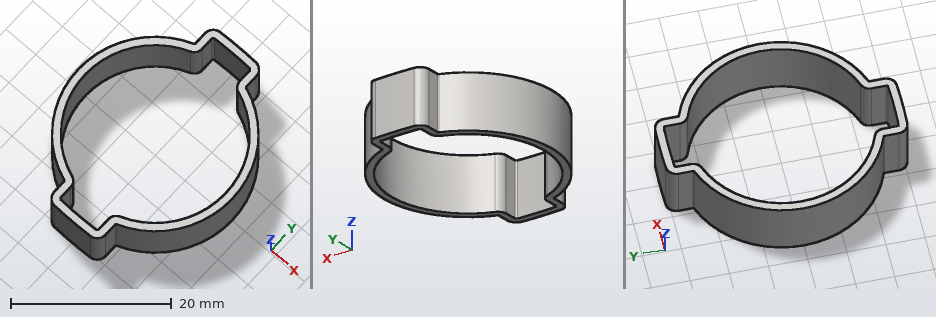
import cadquery as cq
import math

length_y = 31.0
height = 8.0
wall = 1.12
ring_radius = 12.85
ear_width = 8.55
ear_bow_radius = 61.98
corner_inside_bend = 0.25
neck_inside_bend = 0.15

ear_reach = length_y / 2
corner_outside_bend = corner_inside_bend + wall
neck_outside_bend = neck_inside_bend + wall


def ring_with_ears(radius, half_reach, width, bow_radius, corner_bend, neck_bend):
    """Solid disc crossed by a bow-ended bar along Y, with rounded ear corners and necks."""
    half_width = width / 2
    bow_rise = bow_radius - math.sqrt(bow_radius**2 - half_width**2)
    corner_y = half_reach - bow_rise

    disc = cq.Workplane("XY").circle(radius).extrude(height)
    bar = (
        cq.Workplane("XY")
        .moveTo(half_width, -corner_y)
        .lineTo(half_width, corner_y)
        .threePointArc((0, half_reach), (-half_width, corner_y))
        .lineTo(-half_width, -corner_y)
        .threePointArc((0, -half_reach), (half_width, -corner_y))
        .close()
        .extrude(height)
        .edges("|Z")
        .fillet(corner_bend)
    )
    body = disc.union(bar)

    neck_y = math.sqrt(radius**2 - half_width**2)
    for x in (-half_width, half_width):
        for y in (-neck_y, neck_y):
            neck_edge = cq.selectors.NearestToPointSelector((x, y, height / 2))
            body = body.edges(neck_edge).fillet(neck_bend)
    return body


outer_body = ring_with_ears(
    ring_radius,
    ear_reach,
    ear_width,
    ear_bow_radius,
    corner_outside_bend,
    neck_inside_bend,
)
opening = ring_with_ears(
    ring_radius - wall,
    ear_reach - wall,
    ear_width - 2 * wall,
    ear_bow_radius - wall,
    corner_inside_bend,
    neck_outside_bend,
)

result = outer_body.cut(opening)